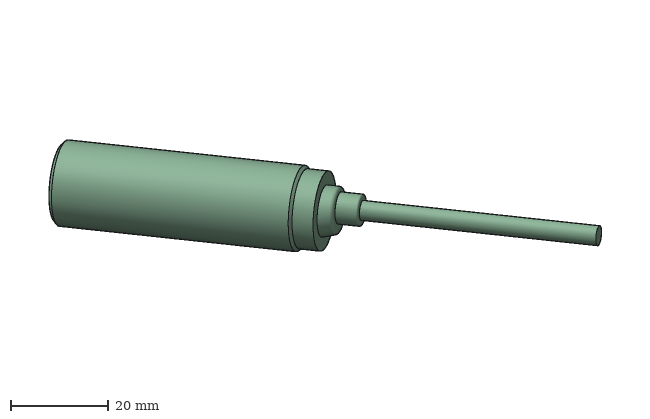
import cadquery as cq

collar_start = 52.3
collar_end = 56.9
boss_end = 60.1
sleeve_end = 65.0
cable_end = 115.8

body_radius = 8.97
collar_radius = 8.3
boss_base_radius = 5.5
boss_tip_radius = 5.0
sleeve_radius = 3.4
cable_radius = 2.1
front_chamfer = 0.8
rear_chamfer = body_radius - collar_radius
boss_fillet = 0.7
sleeve_fillet = 0.3

cable_height = 1.0
boss_tip_height = boss_base_radius - boss_tip_radius


def cylinder(radius, start, end, height=0.0):
    """Cylinder parallel to X, with its axis at the given Z height."""
    plane = cq.Workplane("YZ", origin=(start, 0, height))
    return plane.circle(radius).extrude(end - start)


def make_body():
    body = cylinder(body_radius, 0, collar_start)
    body = body.faces("<X").chamfer(front_chamfer)
    return body.faces(">X").chamfer(rear_chamfer)


def make_boss():
    """Oblique taper between two circles, rounded at its outer end."""
    boss = (
        cq.Workplane("YZ", origin=(collar_end, 0, 0))
        .circle(boss_base_radius)
        .workplane(offset=boss_end - collar_end)
        .center(0, boss_tip_height)
        .circle(boss_tip_radius)
        .loft(ruled=True)
    )
    return boss.faces(">X").edges().fillet(boss_fillet)


def make_sleeve():
    sleeve = cylinder(sleeve_radius, boss_end, sleeve_end, cable_height)
    return sleeve.faces(">X").edges().fillet(sleeve_fillet)


collar = cylinder(collar_radius, collar_start, collar_end)
cable = cylinder(cable_radius, sleeve_end, cable_end, cable_height)

result = make_body().union(collar).union(make_boss()).union(make_sleeve()).union(cable)